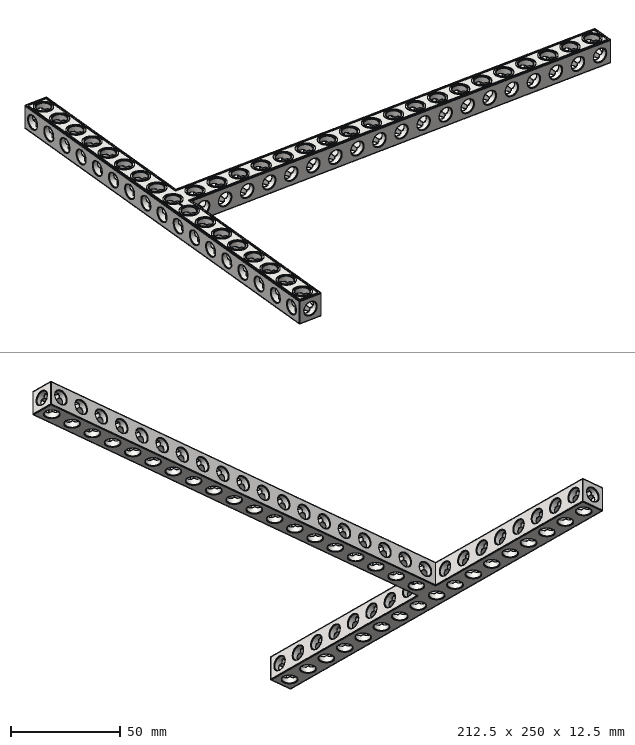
import cadquery as cq

pitch = 12.5
cross_count = 17
stem_count = 20
hole_diameter = 7.0
rim_diameter = 9.2
edge_chamfer = 0.3
recess_depth = 0.2
rib_width = 0.5

half_side = pitch / 2
hole_radius = hole_diameter / 2
border_width = (rim_diameter - hole_diameter) / 2
cross_length = cross_count * pitch
cross_half = cross_length / 2
stem_length = stem_count * pitch
stem_end = stem_length - half_side

cross_stations = [(i - (cross_count - 1) / 2) * pitch for i in range(cross_count)]
stem_stations = [i * pitch for i in range(stem_count)]
vertical_centres = [(x, 0) for x in cross_stations] + [(0, y) for y in stem_stations[1:]]


def tee_prism(inset, bottom, height):
    """T-shaped prism whose outline lies the given inset inside the outer outline."""
    half_width = half_side - inset
    half_length = cross_half - inset
    outline = [
        (-half_length, -half_width),
        (half_length, -half_width),
        (half_length, half_width),
        (half_width, half_width),
        (half_width, stem_end - inset),
        (-half_width, stem_end - inset),
        (-half_width, half_width),
        (-half_length, half_width),
    ]
    return cq.Workplane("XY").workplane(offset=bottom).polyline(outline).close().extrude(height)


def is_inner_corner(edge):
    """True for the two upright edges where the stem meets the cross bar."""
    middle = edge.Center()
    at_stem_side = abs(abs(middle.x) - half_side) < edge_chamfer
    at_cross_side = abs(middle.y - half_side) < edge_chamfer
    return at_stem_side and at_cross_side


def chamfered_body():
    body = tee_prism(0, -half_side, pitch)
    outer_edges = [edge for edge in body.edges().vals() if not is_inner_corner(edge)]
    return body.newObject(outer_edges).chamfer(edge_chamfer)


def hole_cutter(start, direction, length):
    """Straight bore with a 45 degree chamfer at both mouths."""
    profile = [
        (0, 0),
        (hole_radius + edge_chamfer, 0),
        (hole_radius, edge_chamfer),
        (hole_radius, length - edge_chamfer),
        (hole_radius + edge_chamfer, length),
        (0, length),
    ]
    cutter = cq.Workplane("XZ").polyline(profile).close().revolve(360, (0, 0), (0, 1)).val()
    plane = cq.Plane(origin=start, normal=direction)
    return cutter.moved(cq.Location(plane))


def hole_cutters():
    """Bores along all three axes; the bars' own axes are bored from end to end."""
    cutters = [hole_cutter((x, y, -half_side), (0, 0, 1), pitch) for x, y in vertical_centres]
    for x in cross_stations:
        length = stem_length if x == 0 else pitch
        cutters.append(hole_cutter((x, -half_side, 0), (0, 1, 0), length))
    for y in stem_stations:
        length = cross_length if y == 0 else pitch
        cutters.append(hole_cutter((-length / 2, y, 0), (1, 0, 0), length))
    return cutters


def top_recess():
    """Shallow recess in the top face, leaving a border, a rim around each hole and one rib."""
    floor = half_side - recess_depth
    recess = tee_prism(border_width, floor, recess_depth)
    rims = (
        cq.Workplane("XY")
        .workplane(offset=floor)
        .pushPoints(vertical_centres)
        .circle(rim_diameter / 2)
        .extrude(recess_depth)
    )
    rib = (
        cq.Workplane("XY")
        .workplane(offset=floor)
        .center(half_side, 0)
        .rect(pitch, rib_width)
        .extrude(recess_depth)
    )
    return recess.cut(rims).cut(rib)


solid_bars = chamfered_body().cut(top_recess()).val()
result = cq.Workplane(solid_bars.cut(*hole_cutters())).solids()